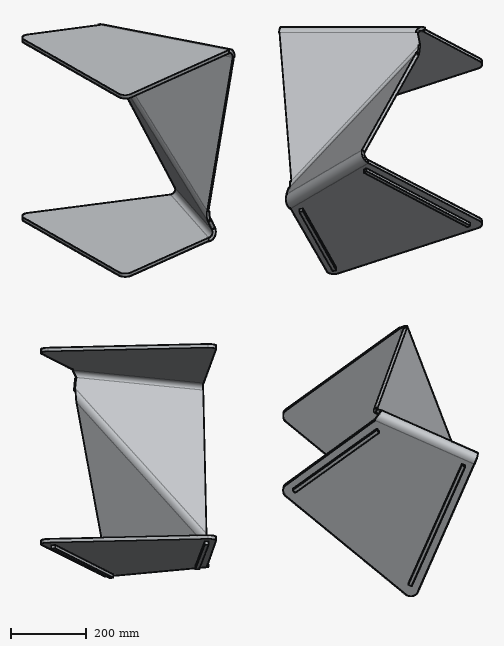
import cadquery as cq
import math

HEIGHT = 537.0
SHEET = 10.0
INNER_RADIUS = 13.0
CORNER_RADIUS = 20.5
TRIM_REACH = 91.0
FOOT_HEIGHT = 9.0
FOOT_WIDTH = 10.0

BASE_Z = FOOT_HEIGHT + SHEET
TOP_Z = HEIGHT - SHEET

FRONT_LEFT = (-237.5, -4.0)
FRONT_RIGHT = (235.5, 46.0)
BASE_FOLD_LEFT = cq.Vector(-136.0, 426.5, BASE_Z)
BASE_FOLD_RIGHT = cq.Vector(138.0, 378.0, BASE_Z)
TOP_FOLD_LEFT = cq.Vector(-181.5, 242.0, TOP_Z)
TOP_FOLD_RIGHT = cq.Vector(115.5, 449.5, TOP_Z)
RIDGE_LEFT = cq.Vector(-183.0, 223.5, 463.0)
RIDGE_RIGHT_X = 146.0

FOOT_ENDS = [
    ((-201.0, 30.0), (-118.0, 388.5)),
    ((203.5, 70.0), (122.5, 338.0)),
]


def plane_normal(left, right, other):
    """Unit normal of the plane through three points."""
    return (right - left).cross(other - left).normalized()


def ridge_right():
    """Right end of the ridge, on the line where the two web planes meet."""
    lower = plane_normal(BASE_FOLD_LEFT, BASE_FOLD_RIGHT, RIDGE_LEFT)
    upper = plane_normal(TOP_FOLD_LEFT, TOP_FOLD_RIGHT, RIDGE_LEFT)
    along = lower.cross(upper)
    return RIDGE_LEFT + along * ((RIDGE_RIGHT_X - RIDGE_LEFT.x) / along.x)


LEFT = [
    cq.Vector(*FRONT_LEFT, BASE_Z),
    BASE_FOLD_LEFT,
    RIDGE_LEFT,
    TOP_FOLD_LEFT,
    cq.Vector(*FRONT_LEFT, TOP_Z),
]
RIGHT = [
    cq.Vector(*FRONT_RIGHT, BASE_Z),
    BASE_FOLD_RIGHT,
    ridge_right(),
    TOP_FOLD_RIGHT,
    cq.Vector(*FRONT_RIGHT, TOP_Z),
]
PANELS = len(LEFT) - 1
NORMALS = [plane_normal(LEFT[i], LEFT[i + 1], RIGHT[i]) for i in range(PANELS)]


def fold_turn(fold):
    """Unit fold direction, bend angle, and whether the inner face is concave there."""
    axis = (RIGHT[fold] - LEFT[fold]).normalized()
    before, after = NORMALS[fold - 1], NORMALS[fold]
    concave = before.cross(after).dot(axis) > 0
    return axis, before.getAngle(after), concave


def setback(fold):
    """Distance from the sharp fold line to where its round begins on the inner face."""
    _, angle, concave = fold_turn(fold)
    radius = INNER_RADIUS if concave else INNER_RADIUS + SHEET
    return radius * math.tan(angle / 2)


def panel_end(side, panel, fold):
    """Point on a panel's side edge where it meets the round of the given fold."""
    corner = side[fold]
    if fold in (0, PANELS):
        return corner
    far = side[panel] if fold == panel + 1 else side[panel + 1]
    run = (far - corner).normalized()
    axis, _, _ = fold_turn(fold)
    across = run.cross(axis).Length
    return corner + run * (setback(fold) / across)


def extruded(points, direction):
    """Solid made by moving a flat polygon along a vector."""
    wire = cq.Wire.makePolygon(points, close=True)
    return cq.Solid.extrudeLinear(wire, [], direction)


def parallelogram(start, rise, run):
    """Flat parallelogram face from a corner and two side vectors."""
    corners = [start, start + rise, start + rise + run, start + run]
    return cq.Face.makeFromWires(cq.Wire.makePolygon(corners, close=True))


def panel_solid(panel):
    """Flat part of the sheet between two neighbouring folds."""
    outline = [
        panel_end(LEFT, panel, panel),
        panel_end(RIGHT, panel, panel),
        panel_end(RIGHT, panel, panel + 1),
        panel_end(LEFT, panel, panel + 1),
    ]
    solid = extruded(outline, NORMALS[panel] * SHEET)
    if panel in (0, PANELS - 1):
        solid = cq.Workplane(solid).edges("|Z").edges("<Y or >X").fillet(CORNER_RADIUS).val()
    return solid


def bend_solid(fold):
    """Rounded strip of sheet joining two panels, its ends cut from edge to edge."""
    axis, angle, concave = fold_turn(fold)
    left_before = panel_end(LEFT, fold - 1, fold)
    left_after = panel_end(LEFT, fold, fold)
    right_before = panel_end(RIGHT, fold - 1, fold)
    right_after = panel_end(RIGHT, fold, fold)
    before, after = NORMALS[fold - 1], NORMALS[fold]

    margin = SHEET + INNER_RADIUS
    length = (RIGHT[fold] - LEFT[fold]).Length + 2 * margin
    to_center = before * -INNER_RADIUS if concave else before * (INNER_RADIUS + SHEET)
    overrun = (left_before - LEFT[fold]).dot(axis) + margin
    start = left_before - axis * overrun
    section = parallelogram(start, before * SHEET, axis * length)
    pivot = start + to_center
    turn_axis = axis * (5.5 if concave else -5.5)
    sector = cq.Solid.revolve(section, math.degrees(angle), pivot, pivot + turn_axis)

    radial = (before + after).normalized()
    ends = []
    for first, last in ((left_before, left_after), (right_before, right_after)):
        chord = (last - first).normalized()
        ends.append(
            [
                first - chord * TRIM_REACH - radial * TRIM_REACH,
                last + chord * TRIM_REACH - radial * TRIM_REACH,
                last + chord * TRIM_REACH + radial * TRIM_REACH,
                first - chord * TRIM_REACH + radial * TRIM_REACH,
            ]
        )
    keep = cq.Solid.makeLoft([cq.Wire.makePolygon(end, close=True) for end in ends], True)
    return sector.intersect(keep)


def folded_sheet():
    """Base plate, two webs and top plate joined by rounded folds."""
    sheet = cq.Workplane(panel_solid(0))
    for fold in range(1, PANELS):
        sheet = sheet.union(cq.Workplane(bend_solid(fold)))
        sheet = sheet.union(cq.Workplane(panel_solid(fold)))
    return sheet


def foot(front, back):
    """Square-ended bar under the base plate, centred on a line from front to back."""
    run_x = back[0] - front[0]
    run_y = back[1] - front[1]
    return (
        cq.Workplane("XY")
        .center((front[0] + back[0]) / 2, (front[1] + back[1]) / 2)
        .transformed(rotate=(0, 0, math.degrees(math.atan2(run_y, run_x))))
        .rect(math.hypot(run_x, run_y), FOOT_WIDTH)
        .extrude(FOOT_HEIGHT)
    )


sheet = folded_sheet()
feet = [foot(front, back) for front, back in FOOT_ENDS]
result = cq.Compound.makeCompound([sheet.solids().val(), *[bar.val() for bar in feet]])